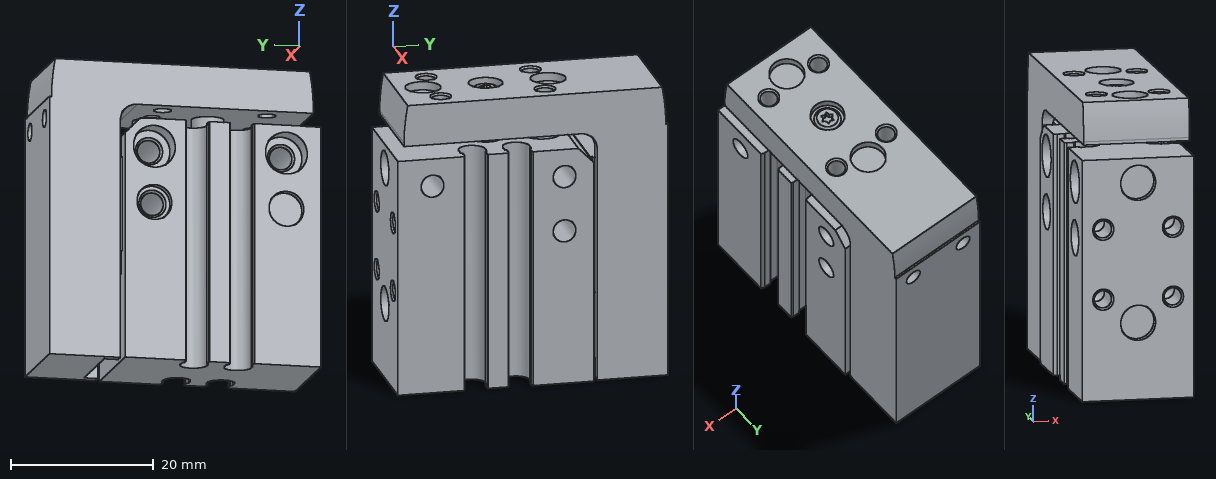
import cadquery as cq
import math


HOUSING_WIDTH = 16.0
HOUSING_DEPTH = 28.2
HOUSING_HEIGHT = 34.5
HOUSING_CHAMFER = 2.2
HALF_WIDTH = HOUSING_WIDTH / 2

GROOVE_CENTERS_Y = (11.35, 17.7)
GROOVE_BORE_D = 3.8
GROOVE_NECK = 3.24
GROOVE_MOUTH = 3.6
GROOVE_MOUTH_DEPTH = 0.5
GROOVE_NECK_DEPTH = 1.55
GROOVE_BORE_DEPTH = 2.9
RIB_SETBACK = 0.2

SIDE_HOLES_Y = (5.0, 24.0)
SIDE_UPPER_Z = 30.5
SIDE_LOWER_Z = 22.5
SIDE_THREAD_D = 3.24
SIDE_LEAD_IN_D = 3.9
COUNTERBORE_D = 6.0
COUNTERBORE_DEPTH = 3.3

LOCATING_D = 5.0
LOCATING_DEPTH = 1.2
THREAD_D = 2.46
THREAD_LEAD_IN_D = 3.0
THREAD_DEPTH = 5.0
DRILL_TIP_HALF_ANGLE = 59.0

FRONT_LOCATING_Z = (11.0, 31.0)
FRONT_THREAD_X = 5.0
FRONT_THREADS_Z = (14.5, 24.5)

TABLE_WIDTH = 15.2
TABLE_REAR_Y = 39.0
TABLE_TOP_Z = 42.5
PLATE_THICKNESS = 6.0
PLATE_BOTTOM_Z = TABLE_TOP_Z - PLATE_THICKNESS
UPRIGHT_FRONT_Y = 28.8
PLATE_FRONT_Y = 1.0
REAR_STEP = 0.3
PLATE_REAR_Y = TABLE_REAR_Y - REAR_STEP
END_FLAT_HEIGHT = 0.5
END_ARC_BOTTOM_Z = PLATE_BOTTOM_Z + END_FLAT_HEIGHT
END_ARC_RADIUS = 29.0
INNER_FILLET = 2.4

ROD_Y = 14.5
PLATE_LOCATING_OFFSET = 9.0
PLATE_THREAD_OFFSET = 7.5
PLATE_THREAD_X = 4.5

ROD_D = 4.6
ROD_TIP_D = 3.8
ROD_TIP_END_D = 3.0
ROD_TIP_CHAMFER = 0.35
ROD_TIP_DEPTH = 0.6
ROD_RECESS_D = 4.8
ROD_RECESS_DEPTH = 1.1
SOCKET_OUTER_R = 0.93
SOCKET_INNER_R = 0.62
SOCKET_DEPTH = 0.8
SOCKET_LOBES = 6

STOP_Y = 22.5
STOP_HEAD_D = 5.5
STOP_HEAD_HEIGHT = 1.3
STOP_PIN_D = 2.2

CHANNEL_WIDTH = 12.3
CHANNEL_DEPTH = 2.0
CHANNEL_TOP_Z = 35.9
CHANNEL_CORNER_R = 2.3
CHANNEL_FLOOR_Y = UPRIGHT_FRONT_Y + CHANNEL_DEPTH
UPRIGHT_HOLE_X = 4.5
UPRIGHT_HOLE_Z = 34.5

CARRIAGE_WIDTH = 12.1
CARRIAGE_Z = (15.7, 29.2)
CAP_LENGTH = 3.2
CAP_STEP_Y = 28.5
CAP_STEP_WIDTH = 11.4


def box(x_size, y_range, z_range):
    """Box centred on X = 0 between the given Y and Z limits."""
    y_low, y_high = y_range
    z_low, z_high = z_range
    block = cq.Workplane("XY").box(x_size, y_high - y_low, z_high - z_low, centered=(True, False, False))
    return block.translate((0, y_low, z_low))


def cylinder(diameter, length, start, direction):
    """Round bar from `start` along `direction`."""
    return cq.Solid.makeCylinder(diameter / 2, length, cq.Vector(*start), cq.Vector(*direction))


def cone(start_d, end_d, length, start, direction):
    """Round taper from `start` along `direction`."""
    return cq.Solid.makeCone(start_d / 2, end_d / 2, length, cq.Vector(*start), cq.Vector(*direction))


def lead_in(outer_d, inner_d, start, direction):
    """45-degree countersink from the outer to the inner diameter."""
    return cone(outer_d, inner_d, (outer_d - inner_d) / 2, start, direction)


def groove_cutter(center_y):
    """Groove in the -X side: flared mouth, narrow neck, 45-degree undercut and round bottom."""
    neck_half = GROOVE_NECK / 2
    mouth_half = GROOVE_MOUTH / 2
    bore_radius = GROOVE_BORE_D / 2
    neck_start_x = -HALF_WIDTH + GROOVE_MOUTH_DEPTH
    neck_end_x = -HALF_WIDTH + GROOVE_NECK_DEPTH
    undercut_x = neck_end_x + bore_radius - neck_half
    bore_x = -HALF_WIDTH + GROOVE_BORE_DEPTH
    return (
        cq.Workplane("XY")
        .moveTo(-HALF_WIDTH, center_y - mouth_half)
        .lineTo(neck_start_x, center_y - neck_half)
        .lineTo(neck_end_x, center_y - neck_half)
        .lineTo(undercut_x, center_y - bore_radius)
        .lineTo(bore_x, center_y - bore_radius)
        .threePointArc((bore_x + bore_radius, center_y), (bore_x, center_y + bore_radius))
        .lineTo(undercut_x, center_y + bore_radius)
        .lineTo(neck_end_x, center_y + neck_half)
        .lineTo(neck_start_x, center_y + neck_half)
        .lineTo(-HALF_WIDTH, center_y + mouth_half)
        .close()
        .extrude(HOUSING_HEIGHT)
    )


def cut_sensor_grooves(body):
    """Two grooves and the set-back rib between them, on both sides."""
    cutter = (
        cq.Workplane("XY")
        .box(RIB_SETBACK, GROOVE_CENTERS_Y[1] - GROOVE_CENTERS_Y[0], HOUSING_HEIGHT, centered=False)
        .translate((-HALF_WIDTH, GROOVE_CENTERS_Y[0], 0))
    )
    for center_y in GROOVE_CENTERS_Y:
        cutter = cutter.union(groove_cutter(center_y))
    return body.cut(cutter).cut(cutter.mirror("YZ"))


def cut_side_threads(body, hole_y, hole_z, entry_d, entry_depth):
    """Hole through the width, entered from -X by a flat-bottomed round recess."""
    inward = (1, 0, 0)
    face = (-HALF_WIDTH, hole_y, hole_z)
    floor = (-HALF_WIDTH + entry_depth, hole_y, hole_z)
    return (
        body.cut(cylinder(SIDE_THREAD_D, HOUSING_WIDTH, face, inward))
        .cut(cylinder(entry_d, entry_depth, face, inward))
        .cut(lead_in(SIDE_LEAD_IN_D, SIDE_THREAD_D, floor, inward))
    )


def cut_side_holes(body):
    """Two counterbored through threads, with a through and a blind locating hole below."""
    front_y, rear_y = SIDE_HOLES_Y
    for hole_y in SIDE_HOLES_Y:
        body = cut_side_threads(body, hole_y, SIDE_UPPER_Z, COUNTERBORE_D, COUNTERBORE_DEPTH)
    body = cut_side_threads(body, rear_y, SIDE_LOWER_Z, LOCATING_D, LOCATING_DEPTH)
    return body.cut(cylinder(LOCATING_D, LOCATING_DEPTH, (-HALF_WIDTH, front_y, SIDE_LOWER_Z), (1, 0, 0)))


def cut_front_holes(body):
    """Two locating holes and four blind drilled threads in the front face."""
    inward = (0, 1, 0)
    tip_length = THREAD_D / 2 / math.tan(math.radians(DRILL_TIP_HALF_ANGLE))
    for z in FRONT_LOCATING_Z:
        body = body.cut(cylinder(LOCATING_D, LOCATING_DEPTH, (0, 0, z), inward))
    for z in FRONT_THREADS_Z:
        for x in (-FRONT_THREAD_X, FRONT_THREAD_X):
            body = (
                body.cut(cylinder(THREAD_D, THREAD_DEPTH, (x, 0, z), inward))
                .cut(lead_in(THREAD_LEAD_IN_D, THREAD_D, (x, 0, z), inward))
                .cut(cone(THREAD_D, 0, tip_length, (x, THREAD_DEPTH, z), inward))
            )
    return body


def make_rod():
    """Piston rod with a chamfered tip and a six-lobed socket."""
    tip_z = TABLE_TOP_Z - ROD_TIP_DEPTH
    chamfer_z = tip_z - ROD_TIP_CHAMFER
    up = (0, 0, 1)
    shank = cylinder(ROD_D, PLATE_BOTTOM_Z - HOUSING_HEIGHT, (0, ROD_Y, HOUSING_HEIGHT), up)
    tip = cylinder(ROD_TIP_D, chamfer_z - HOUSING_HEIGHT, (0, ROD_Y, HOUSING_HEIGHT), up)
    tip_end = cone(ROD_TIP_D, ROD_TIP_END_D, ROD_TIP_CHAMFER, (0, ROD_Y, chamfer_z), up)
    star = []
    for i in range(2 * SOCKET_LOBES):
        radius = SOCKET_INNER_R if i % 2 else SOCKET_OUTER_R
        angle = math.pi * i / SOCKET_LOBES
        star.append((radius * math.cos(angle), ROD_Y + radius * math.sin(angle)))
    socket_floor = cq.Workplane("XY").workplane(offset=tip_z - SOCKET_DEPTH)
    socket = socket_floor.polyline(star).close().extrude(SOCKET_DEPTH)
    return cq.Workplane("XY").add(shank).union(tip).union(tip_end).cut(socket)


def make_stop():
    """Round stop head on the housing top with a pin that reaches the plate."""
    base = (0, STOP_Y, HOUSING_HEIGHT)
    head = cylinder(STOP_HEAD_D, STOP_HEAD_HEIGHT, base, (0, 0, 1))
    pin = cylinder(STOP_PIN_D, PLATE_BOTTOM_Z - HOUSING_HEIGHT, base, (0, 0, 1))
    return cq.Workplane("XY").add(head).union(pin)


def make_carriage():
    """Guide carriage with a stepped cap at each end, reaching the channel floor."""
    bottom_z, top_z = CARRIAGE_Z
    cap_range = (bottom_z - CAP_LENGTH, top_z + CAP_LENGTH)
    block = box(CARRIAGE_WIDTH, (HOUSING_DEPTH, CHANNEL_FLOOR_Y), CARRIAGE_Z)
    caps = box(CARRIAGE_WIDTH, (CAP_STEP_Y, CHANNEL_FLOOR_Y), cap_range)
    cap_steps = box(CAP_STEP_WIDTH, (HOUSING_DEPTH, CAP_STEP_Y), cap_range)
    return block.union(caps).union(cap_steps)


def make_housing():
    """Housing block with the rod, the stop and the guide carriage it carries."""
    body = box(HOUSING_WIDTH, (0, HOUSING_DEPTH), (0, HOUSING_HEIGHT))
    body = body.edges(">Y and >Z").chamfer(HOUSING_CHAMFER)
    body = cut_sensor_grooves(body)
    body = cut_side_holes(body)
    body = cut_front_holes(body)
    return body.union(make_rod()).union(make_stop()).union(make_carriage())


def make_table_profile():
    """L-shaped side profile with slightly curved plate ends, extruded over the table width."""
    arc_height = TABLE_TOP_Z - END_ARC_BOTTOM_Z

    def arc_inset(height):
        """Inward drift of an end face at a height above its vertical start."""
        return END_ARC_RADIUS - math.sqrt(END_ARC_RADIUS**2 - height**2)

    mid_z = END_ARC_BOTTOM_Z + arc_height / 2
    mid_inset = arc_inset(arc_height / 2)
    top_inset = arc_inset(arc_height)
    return (
        cq.Workplane("YZ")
        .moveTo(TABLE_REAR_Y, 0)
        .lineTo(TABLE_REAR_Y, END_ARC_BOTTOM_Z)
        .lineTo(PLATE_REAR_Y, END_ARC_BOTTOM_Z)
        .threePointArc((PLATE_REAR_Y - mid_inset, mid_z), (PLATE_REAR_Y - top_inset, TABLE_TOP_Z))
        .lineTo(PLATE_FRONT_Y + top_inset, TABLE_TOP_Z)
        .threePointArc((PLATE_FRONT_Y + mid_inset, mid_z), (PLATE_FRONT_Y, END_ARC_BOTTOM_Z))
        .lineTo(PLATE_FRONT_Y, PLATE_BOTTOM_Z)
        .lineTo(UPRIGHT_FRONT_Y - INNER_FILLET, PLATE_BOTTOM_Z)
        .radiusArc((UPRIGHT_FRONT_Y, PLATE_BOTTOM_Z - INNER_FILLET), INNER_FILLET)
        .lineTo(UPRIGHT_FRONT_Y, 0)
        .close()
        .extrude(TABLE_WIDTH / 2, both=True)
    )


def cut_plate_holes(table):
    """Locating holes, through threads and the recessed rod hole in the plate."""
    down = (0, 0, -1)
    for side in (-1, 1):
        locating_y = ROD_Y + side * PLATE_LOCATING_OFFSET
        thread_y = ROD_Y + side * PLATE_THREAD_OFFSET
        table = table.cut(cylinder(LOCATING_D, LOCATING_DEPTH, (0, locating_y, TABLE_TOP_Z), down))
        for x in (-PLATE_THREAD_X, PLATE_THREAD_X):
            start = (x, thread_y, TABLE_TOP_Z)
            table = table.cut(cylinder(THREAD_D, PLATE_THICKNESS, start, down))
            table = table.cut(lead_in(THREAD_LEAD_IN_D, THREAD_D, start, down))
    rod_start = (0, ROD_Y, TABLE_TOP_Z)
    table = table.cut(cylinder(ROD_RECESS_D, ROD_RECESS_DEPTH, rod_start, down))
    return table.cut(cylinder(ROD_TIP_D, PLATE_THICKNESS, rod_start, down))


def cut_upright_details(table):
    """Guide channel with round upper corners, and two holes through the upright."""
    channel = box(
        CHANNEL_WIDTH,
        (UPRIGHT_FRONT_Y - INNER_FILLET, CHANNEL_FLOOR_Y),
        (0, CHANNEL_TOP_Z),
    )
    table = table.cut(channel.edges("|Y and >Z").fillet(CHANNEL_CORNER_R))
    for x in (-UPRIGHT_HOLE_X, UPRIGHT_HOLE_X):
        table = table.cut(cylinder(THREAD_D, TABLE_REAR_Y, (x, 0, UPRIGHT_HOLE_Z), (0, 1, 0)))
    return table


def make_table():
    """L-shaped moving table."""
    table = make_table_profile()
    table = cut_plate_holes(table)
    return cut_upright_details(table)


housing = make_housing()
table = make_table()

result = cq.Compound.makeCompound([housing.val(), table.val()])